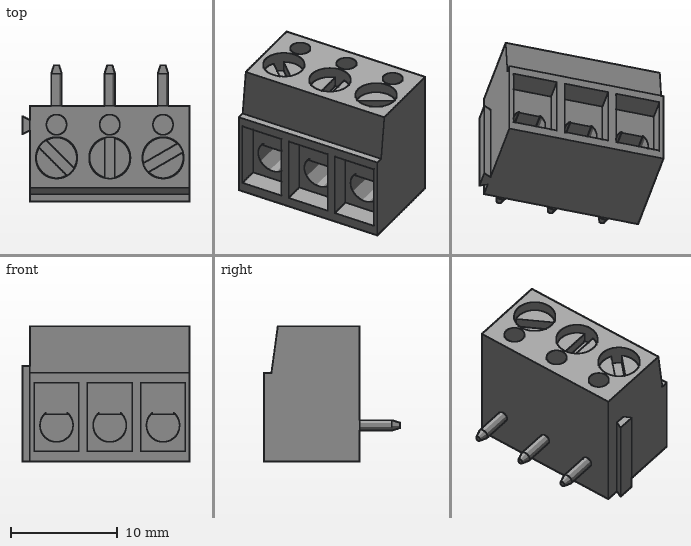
import cadquery as cq


pole_count = 3
pole_pitch = 5.0
overall_length = 15.7
housing_length = 15.0
housing_depth = 9.0
housing_height = 12.7
ledge_height = 8.32
ledge_width = 0.7
top_setback = 1.3

entry_width = 4.2
entry_depth = 2.0
entry_bottom = 0.97
entry_top = 7.41
wire_hole_diameter = 3.11
wire_hole_height = 3.4
clamp_width = 2.04
clamp_bottom = 4.45

screw_y = 4.11
bore_diameter = 3.9
screw_diameter = 3.8
screw_recess = 1.0
screw_gap_depth = 1.0
slot_width = 0.97
slot_depth = 1.0
slot_angles = (-45, 90, 30)

test_hole_diameter = 1.9
test_hole_y = 7.22
test_hole_depth = 2.0

pin_diameter = 1.0
pin_tip_diameter = 0.5
pin_length = 3.8
pin_taper_length = 0.78
pin_height = wire_hole_height

rail_height = 9.0
rail_y = 7.17
rail_outer_width = 1.71
rail_root_width = 1.0
rail_projection = overall_length - housing_length

first_pole_x = (housing_length - (pole_count - 1) * pole_pitch) / 2
pole_positions = [first_pole_x + i * pole_pitch for i in range(pole_count)]
wire_hole_end = screw_y + bore_diameter / 2
screw_top = housing_height - screw_recess


def make_housing():
    """Prism along X with a ledge and a sloped upper face on the wire side."""
    return (
        cq.Workplane("YZ")
        .polyline([
            (0, 0),
            (housing_depth, 0),
            (housing_depth, housing_height),
            (top_setback, housing_height),
            (ledge_width, ledge_height),
            (0, ledge_height),
        ])
        .close()
        .extrude(housing_length)
    )


def make_rail():
    """Dovetail rail, wider at its outer face than at the housing wall."""
    return (
        cq.Workplane("XY")
        .polyline([
            (0, rail_y - rail_root_width / 2),
            (-rail_projection, rail_y - rail_outer_width / 2),
            (-rail_projection, rail_y + rail_outer_width / 2),
            (0, rail_y + rail_root_width / 2),
        ])
        .close()
        .extrude(rail_height)
    )


def vertical_cylinder(x, y, top, diameter, depth):
    """Cylinder reaching down from the given top height."""
    return cq.Workplane("XY", origin=(x, y, top - depth)).circle(diameter / 2).extrude(depth)


def make_wire_entry(x):
    """Rectangular pocket with a wire hole whose crown is blocked by the clamp."""
    pocket = cq.Workplane("XY").box(
        entry_width, entry_depth, entry_top - entry_bottom, centered=(True, False, False)
    ).translate((x, 0, entry_bottom))
    hole_length = wire_hole_end - entry_depth
    wire_hole = (
        cq.Workplane("XZ", origin=(x, wire_hole_end, wire_hole_height))
        .circle(wire_hole_diameter / 2)
        .extrude(hole_length)
    )
    clamp = cq.Workplane("XY").box(
        clamp_width, hole_length, wire_hole_diameter, centered=(True, False, False)
    ).translate((x, entry_depth, clamp_bottom))
    return pocket.union(wire_hole.cut(clamp))


def make_screw_opening(x, slot_angle):
    """Bore around a sunk screw head: recess, narrow ring gap and driver slot."""
    bore = vertical_cylinder(x, screw_y, housing_height, bore_diameter, screw_recess + screw_gap_depth)
    head = vertical_cylinder(x, screw_y, screw_top, screw_diameter, screw_gap_depth)
    slot = (
        cq.Workplane("XY")
        .box(bore_diameter, slot_width, slot_depth)
        .rotate((0, 0, 0), (0, 0, 1), slot_angle)
        .translate((x, screw_y, screw_top - slot_depth / 2))
    )
    return bore.cut(head.cut(slot))


def make_pin(x):
    """Round pin with a conical tip, standing out of the back face."""
    straight_length = pin_length - pin_taper_length
    return (
        cq.Workplane("XY")
        .polyline([
            (0, 0),
            (pin_diameter / 2, 0),
            (pin_diameter / 2, straight_length),
            (pin_tip_diameter / 2, pin_length),
            (0, pin_length),
        ])
        .close()
        .revolve(360, (0, 0, 0), (0, 1, 0))
        .translate((x, housing_depth, pin_height))
    )


result = make_housing().union(make_rail())
for pole_x, angle in zip(pole_positions, slot_angles):
    test_hole = vertical_cylinder(pole_x, test_hole_y, housing_height, test_hole_diameter, test_hole_depth)
    result = result.cut(make_wire_entry(pole_x))
    result = result.cut(make_screw_opening(pole_x, angle))
    result = result.cut(test_hole)
    result = result.union(make_pin(pole_x))